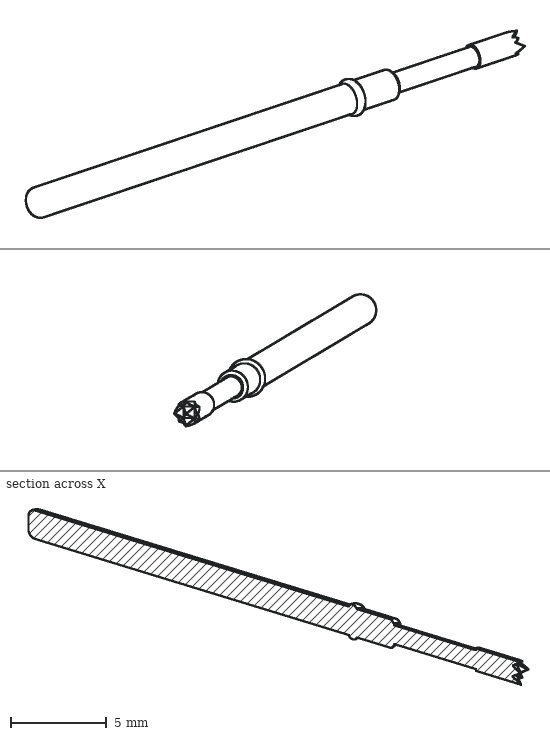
import cadquery as cq
import math

TOTAL_LENGTH = 32.3
INSERT_LENGTH = 21.0
BARREL_LENGTH = 24.0
HEAD_LENGTH = 2.95

BARREL_RADIUS = 1.65 / 2
STEM_RADIUS = 1.1 / 2
HEAD_RADIUS = 1.3 / 2
RING_RADIUS = 2.0 / 2
RING_WIDTH = 0.55
REAR_FILLET = 0.45
MOUTH_CHAMFER = 0.2

GROOVE_DEPTH = 0.53
GROOVE_ANGLE = 60
GROOVE_HALF_WIDTH = GROOVE_DEPTH * math.tan(math.radians(GROOVE_ANGLE / 2))

REAR_Y = -INSERT_LENGTH
MOUTH_Y = REAR_Y + BARREL_LENGTH
TIP_Y = REAR_Y + TOTAL_LENGTH
HEAD_Y = TIP_Y - HEAD_LENGTH


def rod(radius, start_y, end_y):
    """Cylinder on the Y axis between two stations."""
    plane = cq.Plane(origin=(0, start_y, 0), xDir=(1, 0, 0), normal=(0, 1, 0))
    return cq.Workplane(plane).circle(radius).extrude(end_y - start_y)


def make_barrel():
    """Tube with a rounded rear end and a chamfered mouth."""
    barrel = rod(BARREL_RADIUS, REAR_Y, MOUTH_Y)
    barrel = barrel.faces("<Y").edges().fillet(REAR_FILLET)
    return barrel.faces(">Y").edges().chamfer(MOUTH_CHAMFER)


def make_press_ring():
    """Ring around the barrel with an arc-shaped crest."""
    profile = (
        cq.Workplane("XY")
        .moveTo(0, 0)
        .lineTo(BARREL_RADIUS, 0)
        .threePointArc((RING_RADIUS, RING_WIDTH / 2), (BARREL_RADIUS, RING_WIDTH))
        .lineTo(0, RING_WIDTH)
        .close()
    )
    return profile.revolve(360, (0, 0, 0), (0, 1, 0))


def make_groove():
    """V-groove along Z across the tip, with one edge on the axis and the other near the +X rim."""
    profile = [
        (0, TIP_Y),
        (GROOVE_HALF_WIDTH, TIP_Y - GROOVE_DEPTH),
        (2 * GROOVE_HALF_WIDTH, TIP_Y),
    ]
    return cq.Workplane("XY").polyline(profile).close().extrude(HEAD_RADIUS * 2, both=True)


def make_plunger():
    """Stem and head, with crossed V-grooves leaving the crown points."""
    stem = rod(STEM_RADIUS, MOUTH_Y, HEAD_Y)
    head = rod(HEAD_RADIUS, HEAD_Y, TIP_Y)
    groove = make_groove()
    for angle in (0, 90, 180, 270):
        head = head.cut(groove.rotate((0, 0, 0), (0, 1, 0), angle))
    return stem.union(head)


result = make_barrel().union(make_press_ring()).union(make_plunger())